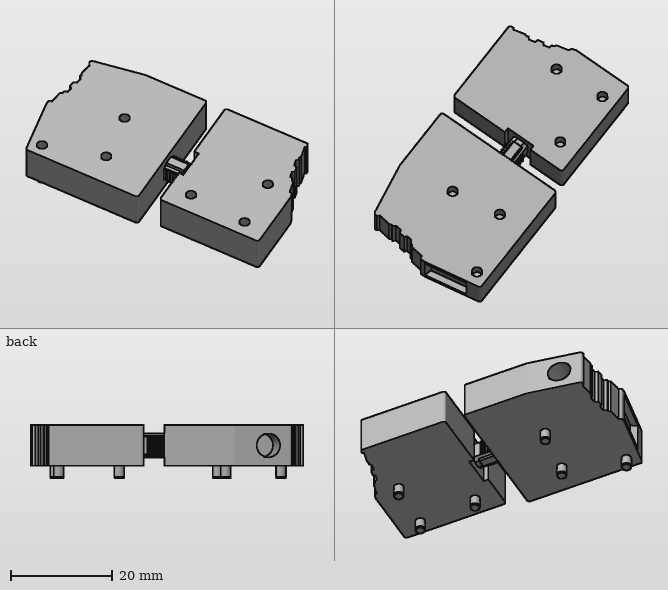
import cadquery as cq
import math

length = 53.9
housing_height = 8.15
corner_radius = 0.55

left_end = 27.5
left_back = 28.25
lean_angle = 10.0
nose_y = 12.2
nose_top = 13.3
left_grip_root = (2.65, 25.05)
left_grip_side = 2.25
left_grip_side_low = 25.55
entry_wall_end = 13.55

right_start = 31.55
right_front = 1.6
right_back = 28.4
right_grip_root = (50.05, 27.35)
right_grip_side = 50.35
right_grip_side_low = 27.45
right_grip_tilt = 5.0
right_shoulder = (53.65, 15.6)
right_shoulder_y = 14.65
notch_depth = 1.0
notch_width = 6.25

plug_y = 12.55
plug_z = housing_height / 2
plug_half_width = 1.7
plug_half_side = 1.7
plug_half_height = 2.25
plug_half_flat = 0.8
pad_half_base = 1.2
pad_half_flat = 0.9
pad_half_height = 2.4
overlap = 0.55

tooth_pitch = 0.75
tooth_count = 5
last_tooth_x = 30.45
tooth_base = tooth_pitch
tooth_tip = 0.25
tooth_height = 0.3
tooth_span = 3.1

peg_centers = [(4.4, 2.55), (15.3, 16.55), (16.95, 6.15), (36.4, 5.65), (48.35, 15.4), (49.05, 4.7)]
peg_diameter = 2.0
peg_length = 2.5
peg_tip_height = 0.3
peg_tip_inset = 0.1
socket_diameter = 2.05
socket_depth = 2.7

pocket_low_y = 3.1
pocket_high_y = 12.15
pocket_height = 6.2
pocket_depth = 1.4
pocket_floor_low_y = 3.85
pocket_floor_high_y = 11.65

entry_x = 6.9
entry_diameter = 4.7
entry_depth = 8.1

lean_slope = math.tan(math.radians(lean_angle))

grip_ridges = [
    (0.0, 0.0), (-0.4, -2.4), (-0.3, -2.7), (-0.15, -3.1), (-0.4, -3.35), (0.15, -3.85),
    (0.0, -5.05), (-0.65, -5.35), (-0.8, -6.6), (-0.3, -6.9), (-0.5, -8.1),
    (-1.15, -8.3), (-1.2, -8.8), (-1.6, -9.05), (-2.0, -11.7),
]


def grip_point(offset, root, tilt, outward):
    """Place a grip offset; outward is -1 for a grip facing -X and +1 for one facing +X."""
    angle = math.radians(tilt)
    across = offset[0] * math.cos(angle) + offset[1] * math.sin(angle)
    along = offset[1] * math.cos(angle) - offset[0] * math.sin(angle)
    return (root[0] - outward * across, root[1] + along)


def add_grip(outline, root, tilt, outward):
    for offset in grip_ridges:
        outline = outline.lineTo(*grip_point(offset, root, tilt, outward))
    return outline


def round_edges(body, points):
    """Fillet the vertical edges of a housing that pass through the given XY points."""
    reach = 0.05
    for x, y in points:
        low = (x - reach, y - reach, -reach)
        high = (x + reach, y + reach, housing_height + reach)
        body = body.edges(cq.selectors.BoxSelector(low, high, boundingbox=True)).fillet(corner_radius)
    return body


def left_housing():
    nose_corner = (0, nose_top)
    front_corner = (nose_y * lean_slope, 0)
    back_corner = (left_grip_side, left_back - (entry_wall_end - left_grip_side) * lean_slope)
    outline = (
        cq.Workplane("XY")
        .moveTo(*front_corner)
        .lineTo(left_end, 0)
        .lineTo(left_end, left_back)
        .lineTo(entry_wall_end, left_back)
        .lineTo(*back_corner)
        .lineTo(left_grip_side, left_grip_side_low)
    )
    outline = add_grip(outline, left_grip_root, 0, -1)
    outline = outline.lineTo(*nose_corner).lineTo(0, nose_y)
    body = outline.close().extrude(housing_height)
    return round_edges(
        body,
        [front_corner, (left_end, 0), (left_end, left_back), back_corner, nose_corner],
    )


def right_housing():
    back_corner = (right_grip_side, right_back)
    outline = (
        cq.Workplane("XY")
        .moveTo(length, right_front)
        .lineTo(right_start, right_front)
        .lineTo(right_start, right_back)
        .lineTo(*back_corner)
        .lineTo(right_grip_side, right_grip_side_low)
    )
    outline = add_grip(outline, right_grip_root, right_grip_tilt, 1)
    outline = outline.lineTo(*right_shoulder).lineTo(length, right_shoulder_y)
    body = outline.close().extrude(housing_height)
    body = round_edges(
        body,
        [(length, right_front), (right_start, right_front), (right_start, right_back), back_corner],
    )
    notch = cq.Workplane("XY").box(2 * notch_depth, notch_width, housing_height, centered=(True, True, False))
    return body.cut(notch.translate((right_start, plug_y, 0)))


def plug_bar(start, end, corner_points):
    """Bar along X whose section is symmetric in Y and Z; corners are given for one quarter."""
    upper = corner_points + [(-y, z) for y, z in reversed(corner_points)]
    lower = [(-y, -z) for y, z in upper]
    bar = cq.Workplane("YZ").polyline(upper + lower).close().extrude(end - start)
    return bar.translate((start, plug_y, plug_z))


def plug():
    start = left_end - overlap
    end = right_start + notch_depth + overlap
    core = plug_bar(start, end, [(plug_half_width, plug_half_side), (plug_half_flat, plug_half_height)])
    chamfer_slope = (plug_half_height - plug_half_side) / (plug_half_width - plug_half_flat)
    pad_base_z = plug_half_side + (plug_half_width - pad_half_base) * chamfer_slope
    pad = plug_bar(start, right_start, [(pad_half_base, pad_base_z), (pad_half_flat, pad_half_height)])
    return core.union(pad)


def plug_teeth():
    root = plug_half_width - overlap
    tip = plug_half_width + tooth_height
    tooth = (
        cq.Workplane("XY")
        .polyline([
            (-tooth_base / 2, root), (-tooth_base / 2, plug_half_width), (-tooth_tip / 2, tip),
            (tooth_tip / 2, tip), (tooth_base / 2, plug_half_width), (tooth_base / 2, root),
        ])
        .close()
        .extrude(tooth_span / 2, both=True)
    )
    pair = tooth.union(tooth.mirror("XZ"))
    teeth = cq.Workplane("XY")
    for i in range(tooth_count):
        teeth = teeth.union(pair.translate((last_tooth_x - i * tooth_pitch, plug_y, plug_z)))
    return teeth


def pegs():
    tip_slope = math.degrees(math.atan2(peg_tip_inset, peg_tip_height))
    shanks = (
        cq.Workplane("XY")
        .pushPoints(peg_centers)
        .circle(peg_diameter / 2)
        .extrude(peg_tip_height - peg_length)
    )
    tips = (
        cq.Workplane("XY", origin=(0, 0, peg_tip_height - peg_length))
        .pushPoints(peg_centers)
        .circle(peg_diameter / 2)
        .extrude(-peg_tip_height, taper=tip_slope)
    )
    return shanks.union(tips)


def sockets():
    return (
        cq.Workplane("XY", origin=(0, 0, housing_height))
        .pushPoints(peg_centers)
        .circle(socket_diameter / 2)
        .extrude(-socket_depth)
    )


def marker_pocket():
    def on_wall(y, depth):
        return ((nose_y - y) * lean_slope + depth, y)

    outline = [
        on_wall(pocket_low_y, 0),
        on_wall(pocket_floor_low_y, pocket_depth),
        on_wall(pocket_floor_high_y, pocket_depth),
        on_wall(pocket_high_y, 0),
    ]
    pocket = cq.Workplane("XY").polyline(outline).close().extrude(pocket_height)
    return pocket.translate((0, 0, (housing_height - pocket_height) / 2))


def wire_entry():
    lean = math.radians(lean_angle)
    inward = cq.Vector(math.sin(lean), -math.cos(lean), 0)
    entry_y = left_back - (entry_wall_end - entry_x) * lean_slope
    mouth = cq.Vector(entry_x, entry_y, housing_height / 2)
    return cq.Workplane(cq.Solid.makeCylinder(entry_diameter / 2, entry_depth, mouth, inward))


result = (
    left_housing()
    .cut(marker_pocket())
    .cut(wire_entry())
    .union(plug())
    .union(right_housing())
    .union(plug_teeth())
    .union(pegs())
    .cut(sockets())
)